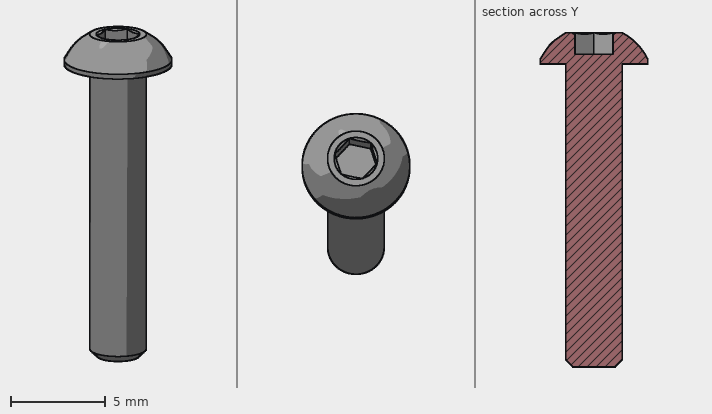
import cadquery as cq
import math

total_length = 17.65
head_diameter = 5.7
head_height = 1.66
rim_height = 0.26
crown_diameter = 3.0
dome_radius = 3.1
shank_diameter = 3.0
tip_chamfer = 0.39

hex_across_flats = 2.0
socket_depth = 1.13
hex_across_corners = hex_across_flats / math.cos(math.pi / 6)
countersink_depth = 0.09

head_radius = head_diameter / 2
crown_radius = crown_diameter / 2
shank_radius = shank_diameter / 2
shank_length = total_length - head_height
tip_radius = shank_radius - tip_chamfer


def screw_body():
    """Revolve the half profile of head and shank about the Z axis."""
    return (
        cq.Workplane("XZ")
        .moveTo(0, -shank_length)
        .lineTo(tip_radius, -shank_length)
        .lineTo(shank_radius, -shank_length + tip_chamfer)
        .lineTo(shank_radius, 0)
        .lineTo(head_radius, 0)
        .lineTo(head_radius, rim_height)
        .radiusArc((crown_radius, head_height), -dome_radius)
        .lineTo(0, head_height)
        .close()
        .revolve(360, (0, 0, 0), (0, 1, 0))
    )


def hex_socket():
    """Hexagonal prism with two corners on the Y axis."""
    return (
        cq.Workplane("XY")
        .workplane(offset=head_height - socket_depth)
        .polygon(6, hex_across_corners)
        .extrude(socket_depth)
        .rotate((0, 0, 0), (0, 0, 1), 90)
    )


def socket_countersink():
    """Cone whose mouth circle passes through the hexagon corners."""
    return cq.Workplane("XY").add(
        cq.Solid.makeCone(
            hex_across_flats / 2,
            hex_across_corners / 2,
            countersink_depth,
            pnt=cq.Vector(0, 0, head_height - countersink_depth),
        )
    )


result = screw_body().cut(hex_socket()).cut(socket_countersink())